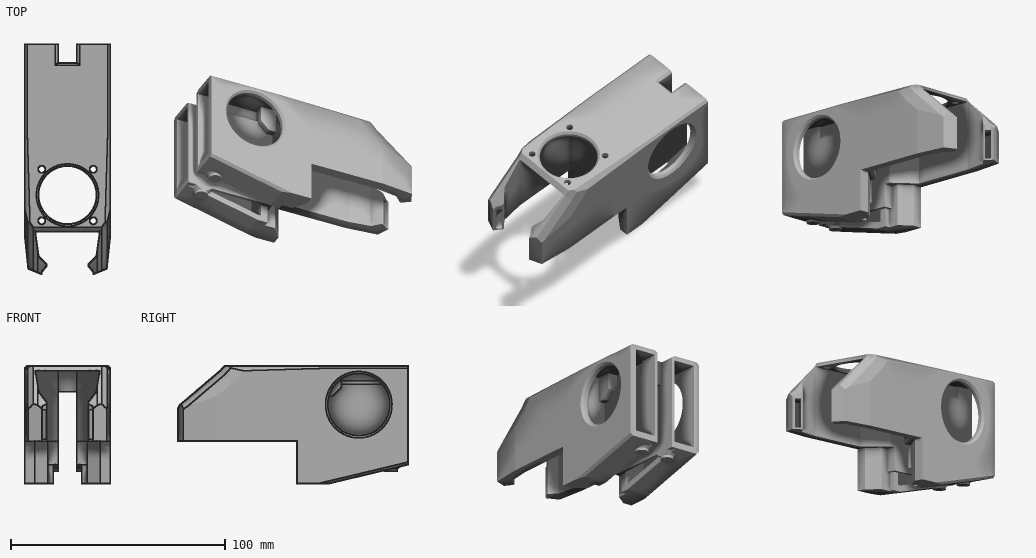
import cadquery as cq
import math

LENGTH = 107.3
WIDTH = 40.0
HEIGHT = 55.0
HALF = WIDTH / 2
EPS = 0.1

ARM_BOTTOM_Z = 19.7
LEG_FRONT_Y = 55.5
KEEL_REAR_Y = 70.5
BELLY_REAR_Z = 8.8
BELLY_CHAMFER = 1.2

ROOF = 2.3
ROOF_CHAMFER = 1.2
ROOF_CHAMFER_FRONT = 2.6
TAPER_START_Y = 69.1
NOSE_TOP_Y = 21.8
NOSE_JOINT = (19.7, HEIGHT - ROOF)
NOSE_END = (1.2, 36.9)
NOSE_EDGE_X = 15.9
NOSE_SHOULDER = (18.6, 2.8)
NOSE_SIDE_DEPTH = 8.0
NOSE_CLEARANCE = 26.8
NOSE_LEAD_IN = 12.9
NOSE_RUN_OUT = 8.6
NOSE_FALL = (NOSE_JOINT[1] - NOSE_END[1]) / (NOSE_JOINT[0] - NOSE_END[0])

ARM_BEND_Y = 18.4
DUCT_HALF = 15.0
TIP_OUTER = (18.4, 2.6)
TIP_INNER = (12.1, 0.0)
SEAT_FRONT = (11.8, 1.3)
SEAT_REAR = (9.8, 3.8)
BARB_REAR = (9.8, 4.7)
BARB_ROOT = (13.4, 8.4)
BARB_TOP_X = 14.0
BARB_TOP_DROP = 1.9
POCKET_Z = (20.6, 34.3)
POCKET_REACH = 7.1
POCKET_BACK = (17.3, 7.2)
POCKET_BACK_X = 17.6
POCKET_RIM = 0.2

SLOT_HALF = 4.3
FUNNEL_START_Y = 52.0
FUNNEL_END_Y = 60.9
BRIDGE_BOTTOM_Z = HEIGHT - 12.2
LEG_BEVEL_START = (15.3, LEG_FRONT_Y)
LEG_BEVEL_END = (9.1, 60.2)
LEG_RECESS_Y = 63.9
LEG_FOOT_RECESS_Y = 65.5
SKIRT_HALF = 6.5

NOTCH_LENGTH = 8.7
NOTCH_CHAMFER_SIDE = 1.5
NOTCH_CHAMFER_FRONT = 1.1
NOTCH_CHAMFER_DEPTH = 1.0

FAN_Y = 36.9
FAN_RADIUS = 13.5
HOLE_CHAMFER = 1.02
SCREW_OFFSET = 12.0
SCREW_RADIUS = 1.6

PORT_Y = 84.4
PORT_Z = HEIGHT - 18.1
PORT_RADIUS = 14.5
SIDE_WALL = 3.0
CHAMBER_INNER_X = 5.8
CHAMBER_FLOOR = 3.0
CHAMBER_FRONT_Y = 68.7
LEDGE_TOP_Z = HEIGHT - 7.1
LEDGE_HEIGHT = 1.5
LEDGE_REAR_Y = LENGTH - NOTCH_LENGTH - NOTCH_CHAMFER_FRONT
BOSS_X = 9.1
BOSS_REAR_Y = 76.2
BOSS_BOTTOM_Z = HEIGHT - 14.2
BOSS_BEVEL = 4.1

PIN_RADIUS = 3.1
PIN_Y = 99.3
PIN_BOTTOM_Z = HEIGHT - 49.3
PIN_STRAIGHT = 1.2


def both_sides(solid):
    return solid.union(solid.mirror("YZ"))


def plan_prism(points, z_low, z_high):
    return cq.Workplane("XY").workplane(offset=z_low).polyline(points).close().extrude(z_high - z_low)


def profile_prism(points, x_low, x_high):
    return cq.Workplane("YZ").workplane(offset=x_low).polyline(points).close().extrude(x_high - x_low)


def box(x_range, y_range, z_range):
    (x_low, x_high), (y_low, y_high) = x_range, y_range
    corners = [(x_low, y_low), (x_high, y_low), (x_high, y_high), (x_low, y_high)]
    return plan_prism(corners, *z_range)


def outer_block():
    """Side profile limited by the plan outline, with arms that narrow to the tips."""
    profile = [
        (0, ARM_BOTTOM_Z), (LEG_FRONT_Y, ARM_BOTTOM_Z), (LEG_FRONT_Y, 0), (KEEL_REAR_Y, 0),
        (LENGTH, BELLY_REAR_Z), (LENGTH, HEIGHT), (0, HEIGHT),
    ]
    plan = [(0, 0), TIP_INNER, TIP_OUTER, (HALF, ARM_BEND_Y), (HALF, LENGTH), (0, LENGTH)]
    return profile_prism(profile, -HALF, HALF).intersect(both_sides(plan_prism(plan, 0, HEIGHT)))


def roof_edge_tool():
    """Roof chamfer: constant along the rear, widening towards the nose."""
    def section(y, size):
        plane = cq.Plane(origin=(HALF, y, HEIGHT), xDir=(1, 0, 0), normal=(0, -1, 0))
        points = [(-size, 0), (0, -size), (EPS, -size), (EPS, EPS), (-size, EPS)]
        return cq.Wire.makePolygon([plane.toWorldCoords(p) for p in points], close=True)

    rear = section(LENGTH, ROOF_CHAMFER)
    middle = section(TAPER_START_Y, ROOF_CHAMFER)
    front = section(NOSE_TOP_Y, ROOF_CHAMFER_FRONT)
    straight = cq.Solid.makeLoft([rear, middle], True)
    tapered = cq.Solid.makeLoft([middle, front], True)
    return both_sides(cq.Workplane(straight).union(cq.Workplane(tapered)))


def belly_edge_tool():
    """Chamfer along the outer edge of the sloping belly."""
    slope = cq.Vector(0, LENGTH - KEEL_REAR_Y, BELLY_REAR_Z).normalized()
    start = cq.Vector(HALF, KEEL_REAR_Y, 0) - slope * (LENGTH - KEEL_REAR_Y)
    plane = cq.Plane(origin=start.toTuple(), xDir=(1, 0, 0), normal=slope.toTuple())
    size = BELLY_CHAMFER
    corner = [(-2 * size, size), (size, -2 * size), (size, size)]
    return both_sides(cq.Workplane(plane).polyline(corner).close().extrude(LENGTH))


def nose_tool():
    """Everything above the sloping nose, swept along the two-part nose line."""
    joint_y, joint_z = NOSE_JOINT
    end_y, end_z = NOSE_END
    upper_fall = (HEIGHT - joint_z) / (NOSE_TOP_Y - joint_y)
    start = (0, NOSE_TOP_Y + NOSE_LEAD_IN, HEIGHT + NOSE_LEAD_IN * upper_fall)
    stop = (0, end_y - NOSE_RUN_OUT, end_z - NOSE_RUN_OUT * NOSE_FALL)
    path = cq.Workplane("XY").polyline([start, (0, joint_y, joint_z), stop])
    plane = cq.Plane(origin=start, xDir=(1, 0, 0), normal=(0, -1, -upper_fall))
    beyond = 2.1
    side_slope = (NOSE_SIDE_DEPTH - NOSE_SHOULDER[1]) / (HALF - NOSE_SHOULDER[0])
    outside = HALF + beyond
    right = [
        (NOSE_EDGE_X, 0), (NOSE_SHOULDER[0], -NOSE_SHOULDER[1]),
        (outside, -NOSE_SIDE_DEPTH - beyond * side_slope), (outside, NOSE_CLEARANCE),
    ]
    left = [(-x, height) for x, height in reversed(right)]
    return cq.Workplane(plane).polyline(right + left).close().sweep(path, transition="right")


def barb_top_tool():
    """Inner part of the arm tips, falling away from the nose surface towards the slot."""
    plane = cq.Plane(origin=(0, *NOSE_JOINT), xDir=(1, 0, 0), normal=(0, -1, -NOSE_FALL))
    drop = BARB_TOP_DROP / math.hypot(1, NOSE_FALL)
    inner_x = SEAT_REAR[0]
    wedge = [(BARB_TOP_X, 0), (inner_x, -drop), (inner_x - 1.1, -drop), (inner_x - 1.1, 1.1), (BARB_TOP_X, 1.1)]
    return both_sides(cq.Workplane(plane).polyline(wedge).close().extrude(LENGTH / 2))


def duct_tool():
    """Open duct between the arms, funnelling into the centre slot under the roof."""
    right = [TIP_INNER, SEAT_FRONT, SEAT_REAR, BARB_REAR, BARB_ROOT, (DUCT_HALF, NOSE_JOINT[0]),
             (DUCT_HALF, FUNNEL_START_Y), (SLOT_HALF, FUNNEL_END_Y), (0, FUNNEL_END_Y)]
    half = [(0, -EPS), (TIP_INNER[0], -EPS)] + right
    return both_sides(plan_prism(half, -EPS, HEIGHT - ROOF))


def leg_tool():
    """Relief behind the bevelled inner faces of the legs, a little deeper at the feet."""
    start_x = LEG_BEVEL_START[0]
    end_x = LEG_BEVEL_END[0]

    def relief(rear_y, top_z):
        half = [(0, LEG_FRONT_Y - EPS), (start_x, LEG_FRONT_Y - EPS), LEG_BEVEL_START, LEG_BEVEL_END,
                (end_x, rear_y), (0, rear_y)]
        return plan_prism(half, -EPS, top_z)

    return both_sides(relief(LEG_RECESS_Y, ARM_BOTTOM_Z).union(relief(LEG_FOOT_RECESS_Y, BELLY_REAR_Z)))


def slot_tool():
    slot = box((-SLOT_HALF, SLOT_HALF), (LEG_FRONT_Y, LENGTH + EPS), (-EPS, BRIDGE_BOTTOM_Z))
    skirt = box((-SKIRT_HALF, SKIRT_HALF), (LEG_FRONT_Y, LENGTH + EPS), (-EPS, BELLY_REAR_Z))
    return slot.union(skirt)


def notch_tool():
    """Rear notch through the roof with a sloping rim."""
    front_y = LENGTH - NOTCH_LENGTH
    notch = box((-SLOT_HALF, SLOT_HALF), (front_y, LENGTH + EPS), (0, HEIGHT + EPS))

    def rim_wire(half, y, z):
        corners = [(-half, y, z), (half, y, z), (half, LENGTH + EPS, z), (-half, LENGTH + EPS, z)]
        return cq.Wire.makePolygon([cq.Vector(*c) for c in corners], close=True)

    low = rim_wire(SLOT_HALF, front_y, HEIGHT - NOTCH_CHAMFER_DEPTH)
    high = rim_wire(SLOT_HALF + NOTCH_CHAMFER_SIDE, front_y - NOTCH_CHAMFER_FRONT, HEIGHT)
    return notch.union(cq.Workplane(cq.Solid.makeLoft([low, high], True)))


def chamfered_hole(radius, depth):
    """Round hole along Z from z = -depth to z = 0 with a flared mouth at z = 0."""
    hole = cq.Workplane("XY").circle(radius).extrude(-depth)
    bottom = cq.Vector(0, 0, -HOLE_CHAMFER)
    mouth = cq.Solid.makeCone(radius, radius + HOLE_CHAMFER, HOLE_CHAMFER, pnt=bottom)
    return hole.union(cq.Workplane(mouth))


def fan_tool():
    fan = chamfered_hole(FAN_RADIUS, 2 * ROOF)
    screws = cq.Workplane("XY").rect(2 * SCREW_OFFSET, 2 * SCREW_OFFSET, forConstruction=True).vertices()
    return fan.union(screws.circle(SCREW_RADIUS).extrude(-2 * ROOF)).translate((0, FAN_Y, HEIGHT))


def chamber_tool():
    """Side chamber open to the rear, with a ledge on its inner wall and a boss in the front corner."""
    ceiling_z = HEIGHT - ROOF
    rear_y = LENGTH + EPS
    chamber_side = [
        (CHAMBER_FRONT_Y, CHAMBER_FLOOR), (KEEL_REAR_Y, CHAMBER_FLOOR),
        (rear_y, BELLY_REAR_Z + CHAMBER_FLOOR), (rear_y, ceiling_z), (CHAMBER_FRONT_Y, ceiling_z),
    ]
    chamber = profile_prism(chamber_side, CHAMBER_INNER_X, HALF - SIDE_WALL)
    ledge_x = CHAMBER_INNER_X - LEDGE_HEIGHT
    ledge = [(CHAMBER_INNER_X, LEDGE_TOP_Z - LEDGE_HEIGHT), (ledge_x, LEDGE_TOP_Z), (ledge_x, ceiling_z),
             (CHAMBER_INNER_X, ceiling_z)]
    groove = cq.Workplane("XZ").polyline(ledge).close().extrude(LEDGE_REAR_Y - BOSS_REAR_Y)
    groove = groove.translate((0, LEDGE_REAR_Y, 0))
    boss_side = [
        (CHAMBER_FRONT_Y, ceiling_z), (BOSS_REAR_Y, ceiling_z), (BOSS_REAR_Y, BOSS_BOTTOM_Z + BOSS_BEVEL),
        (BOSS_REAR_Y - BOSS_BEVEL, BOSS_BOTTOM_Z), (CHAMBER_FRONT_Y, BOSS_BOTTOM_Z),
    ]
    boss = profile_prism(boss_side, CHAMBER_INNER_X, BOSS_X)
    port = chamfered_hole(PORT_RADIUS, 2 * SIDE_WALL).rotate((0, 0, 0), (0, 1, 0), 90)
    port = port.translate((HALF, PORT_Y, PORT_Z))
    return both_sides(chamber.cut(boss).union(groove).union(port))


def magnet_pocket_tool():
    """Pocket behind the slanted seat, running at 45 degrees into the arm up to its outer skin."""
    along = cq.Vector(SEAT_REAR[0] - SEAT_FRONT[0], SEAT_REAR[1] - SEAT_FRONT[1], 0).normalized()
    mouth = cq.Vector(-EPS, -EPS, 0)
    front = cq.Vector(*SEAT_FRONT, 0) + along * POCKET_RIM
    rear = cq.Vector(*SEAT_REAR, 0) - along * POCKET_RIM
    end = rear + cq.Vector(POCKET_REACH, POCKET_REACH, 0)
    corners = [(front + mouth).toTuple()[:2], (rear + mouth).toTuple()[:2], end.toTuple()[:2],
               (POCKET_BACK_X, end.y), POCKET_BACK]
    return both_sides(plan_prism(corners, *POCKET_Z))


def pins():
    """Pins under the slot edges that flare out at 45 degrees into the body, trimmed flush with the slot."""
    flare = BELLY_REAR_Z - PIN_BOTTOM_Z - PIN_STRAIGHT
    pin = cq.Workplane("XY").circle(PIN_RADIUS).extrude(PIN_STRAIGHT + flare)
    cone = cq.Solid.makeCone(PIN_RADIUS, PIN_RADIUS + flare, flare, pnt=cq.Vector(0, 0, PIN_STRAIGHT))
    pin = pin.union(cq.Workplane(cone)).translate((SLOT_HALF + PIN_RADIUS, PIN_Y, PIN_BOTTOM_Z))
    slot = box((-SLOT_HALF, SLOT_HALF), (0, LENGTH), (0, HEIGHT))
    return both_sides(pin.cut(slot))


result = outer_block()
for tool in (
    roof_edge_tool(), belly_edge_tool(), nose_tool(), barb_top_tool(), duct_tool(), leg_tool(),
    slot_tool(), notch_tool(), fan_tool(), chamber_tool(), magnet_pocket_tool(),
):
    result = result.cut(tool)
result = result.union(pins())